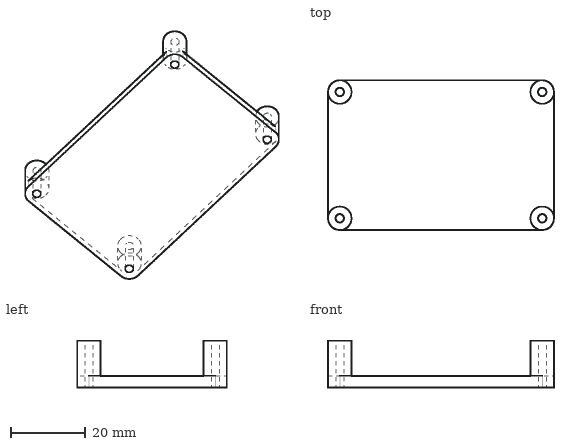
import cadquery as cq

HOLE_SPACING_X = 54.5
HOLE_SPACING_Y = 34.0
POST_DIAMETER = 6.35
HOLE_DIAMETER = 2.2
TOTAL_HEIGHT = 12.7
PLATE_THICKNESS = 3.175

corner_cut = POST_DIAMETER / 2
plate_length = HOLE_SPACING_X + POST_DIAMETER
plate_width = HOLE_SPACING_Y + POST_DIAMETER


def make_plate():
    """Flat base with its underside on Z = 0 and corners cut away to make room for the posts."""
    plate = cq.Workplane("XY").rect(plate_length, plate_width).extrude(PLATE_THICKNESS)
    return plate.edges("|Z").chamfer(corner_cut)


def corner_cylinders(diameter):
    """Four full-height cylinders, one at each corner position."""
    positions = cq.Workplane("XY").rect(HOLE_SPACING_X, HOLE_SPACING_Y, forConstruction=True).vertices()
    return positions.circle(diameter / 2).extrude(TOTAL_HEIGHT)


posts = corner_cylinders(POST_DIAMETER)
through_holes = corner_cylinders(HOLE_DIAMETER)

result = make_plate().union(posts).cut(through_holes)